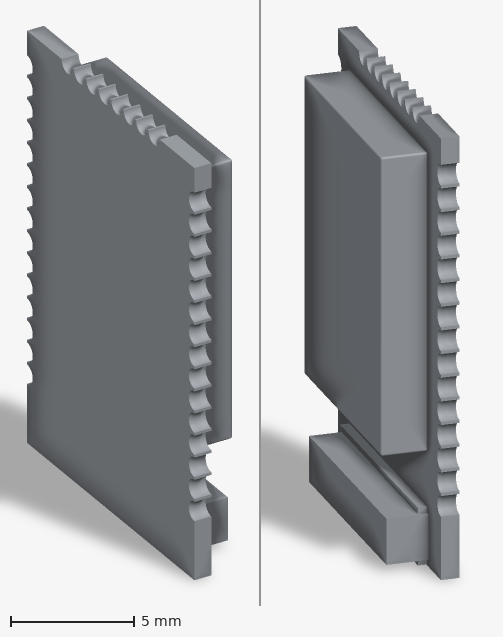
import cadquery as cq


board_width = 13.3
board_length = 19.2
board_thickness = 0.8

notch_radius = 0.45
side_notch_count = 15
first_side_notch_z = 3.2
last_side_notch_z = 17.6
side_notch_pitch = (last_side_notch_z - first_side_notch_z) / (side_notch_count - 1)
top_notch_count = 8
top_notch_span = 6.9
top_notch_pitch = top_notch_span / (top_notch_count - 1)

shield_width = 10.0
shield_length = 13.0
shield_height = 2.0
shield_left = 1.65
shield_bottom = 5.0
shield_edge_radius = 0.1

connector_width = 10.0
connector_length = 2.0
connector_height = 1.8
connector_left = 1.6
connector_bottom = 0.3

flange_right = 11.8
flange_length = 2.5
flange_height = 0.4
flange_left = 1.75
flange_bottom = connector_bottom - (flange_length - connector_length) / 2


def block(left, bottom, back, width, length, depth):
    """Box with its lowest X, Z and Y faces at left, bottom and back."""
    return cq.Workplane("XY").box(width, depth, length, centered=False).translate((left, back, bottom))


def notch_cutters(centres):
    """Round cutters through the board at the given (X, Z) centres."""
    return cq.Workplane("XZ").pushPoints(centres).circle(notch_radius).extrude(-board_thickness)


def make_board():
    side_heights = [first_side_notch_z + i * side_notch_pitch for i in range(side_notch_count)]
    side_centres = [(x, z) for x in (0, board_width) for z in side_heights]
    first_top_notch_x = (board_width - top_notch_span) / 2
    top_centres = [(first_top_notch_x + i * top_notch_pitch, board_length) for i in range(top_notch_count)]
    blank = block(0, 0, 0, board_width, board_length, board_thickness)
    return blank.cut(notch_cutters(side_centres + top_centres))


def make_shield():
    can = block(shield_left, shield_bottom, board_thickness, shield_width, shield_length, shield_height)
    return can.edges().fillet(shield_edge_radius)


def make_connector():
    body = block(
        connector_left, connector_bottom, board_thickness, connector_width, connector_length, connector_height
    )
    flange_width = flange_right - flange_left
    flange = block(flange_left, flange_bottom, board_thickness, flange_width, flange_length, flange_height)
    return body.union(flange)


board = make_board()
shield = make_shield()
connector = make_connector()

result = cq.Compound.makeCompound([board.val(), shield.val(), connector.val()])